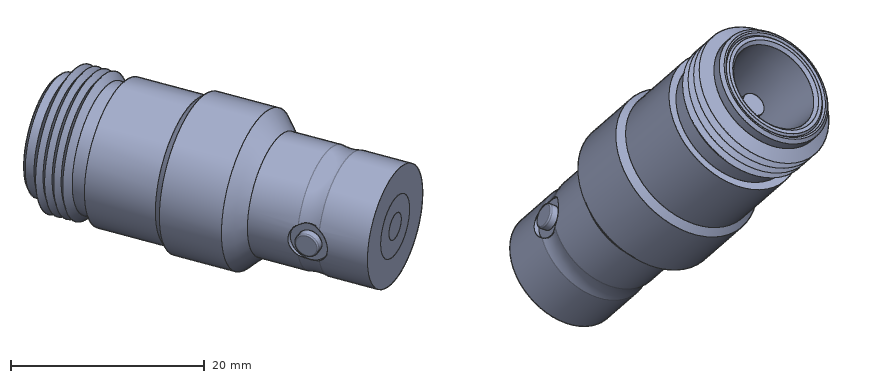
import cadquery as cq
length = 39.34
start_x = -length / 2
body_radius = 8.765

nose_radius = 6.75
nose_chamfer = 0.36
crest_radius = 8.05
root_radius = 7.35
crest_count = 4
thread_pitch = 1.03
first_flank_start = 1.36
first_crest = 2.15
last_flank_end = 5.93
undercut_radius = 7.22
undercut_end = 7.72

barrel_radius = 8.08
barrel_end = 15.8
collar_start = 16.58
collar_end = 23.65
bayonet_radius = 6.75
bayonet_start = collar_end + body_radius - bayonet_radius

lug_station = 32.53
groove_width = 2.4
groove_depth = 0.15
lug_radius = 1.36
lug_root = 5.0
lug_tip = 7.07
lug_edge_fillet = 0.15
spotface_radius = 2.25
spotface_height = 6.16

rim_groove_outer_radius = 6.18
rim_groove_inner_radius = 5.74
rim_groove_half_width = (rim_groove_outer_radius - rim_groove_inner_radius) / 2
lead_in_radius = 5.33
bore_mouth_radius = 4.97
lead_in_length = lead_in_radius - bore_mouth_radius
bore_floor_radius = 4.35
bore_floor_depth = 9.0

insulator_radius = 3.52
contact_radius = 1.5
contact_tip_radius = 1.3
contact_tip_depth = 4.1
contact_taper_length = 3.0


def revolve_profile(points):
    """Turn a closed (distance from mouth, radius) outline about the X axis."""
    placed = [(start_x + distance, radius) for distance, radius in points]
    return cq.Workplane("XY").polyline(placed).close().revolve(360, (0, 0, 0), (1, 0, 0))


def thread_points():
    """Sharp crests with a root between each pair."""
    points = []
    for index in range(crest_count):
        crest = first_crest + index * thread_pitch
        points.append((crest, crest_radius))
        if index < crest_count - 1:
            points.append((crest + thread_pitch / 2, root_radius))
    return points


def make_shell():
    """Solid outer form of the housing."""
    return revolve_profile([
        (0, 0),
        (0, nose_radius - nose_chamfer),
        (nose_chamfer, nose_radius),
        (first_flank_start, nose_radius),
        *thread_points(),
        (last_flank_end, undercut_radius),
        (undercut_end, undercut_radius),
        (undercut_end, barrel_radius),
        (barrel_end, barrel_radius),
        (collar_start, body_radius),
        (collar_end, body_radius),
        (bayonet_start, bayonet_radius),
        (length, bayonet_radius),
        (length, 0),
    ])


def make_rim_groove():
    """Right-angled V groove around the flat mouth rim."""
    return revolve_profile([
        (0, rim_groove_inner_radius),
        (rim_groove_half_width, rim_groove_inner_radius + rim_groove_half_width),
        (0, rim_groove_outer_radius),
    ])


def make_mouth_cavity():
    """Chamfered mouth leading into a bore that tapers slightly to its flat floor."""
    return revolve_profile([
        (0, 0),
        (0, lead_in_radius),
        (lead_in_length, bore_mouth_radius),
        (bore_floor_depth, bore_floor_radius),
        (bore_floor_depth, 0),
    ])


def make_bayonet_groove():
    """Shallow arc-bottomed ring groove through the lug station."""
    center_x = start_x + lug_station
    left = (center_x - groove_width / 2, bayonet_radius)
    bottom = (center_x, bayonet_radius - groove_depth)
    right = (center_x + groove_width / 2, bayonet_radius)
    outline = cq.Workplane("XY").moveTo(*left).threePointArc(bottom, right).close()
    return outline.revolve(360, (0, 0, 0), (1, 0, 0))


def side_cylinder(side, radius, inner, outer):
    """Cylinder along Y at the lug station, on the +Y (side = 1) or -Y (side = -1) flank."""
    base = cq.Vector(start_x + lug_station, side * inner, 0)
    return cq.Workplane(cq.Solid.makeCylinder(radius, outer - inner, base, cq.Vector(0, side, 0)))


def make_housing():
    """Outer shell with its mouth, grooves, spot-faced lugs and insulator bore."""
    housing = make_shell()
    for cutter in (make_rim_groove(), make_mouth_cavity(), make_bayonet_groove()):
        housing = housing.cut(cutter)
    for side, tip_face in ((1, ">Y"), (-1, "<Y")):
        housing = housing.cut(side_cylinder(side, spotface_radius, spotface_height, body_radius))
        lug = side_cylinder(side, lug_radius, lug_root, lug_tip)
        housing = housing.union(lug.faces(tip_face).edges().fillet(lug_edge_fillet))
    insulator_bore = revolve_profile([
        (bore_floor_depth, 0),
        (bore_floor_depth, insulator_radius),
        (length, insulator_radius),
        (length, 0),
    ])
    return housing.cut(insulator_bore)


def make_insulator():
    """Sleeve between the housing bore and the contact, flush with the bore floor."""
    return revolve_profile([
        (bore_floor_depth, contact_radius),
        (bore_floor_depth, insulator_radius),
        (length, insulator_radius),
        (length, contact_radius),
    ])


def make_contact():
    """Centre pin with a slightly tapered tip."""
    return revolve_profile([
        (contact_tip_depth, 0),
        (contact_tip_depth, contact_tip_radius),
        (contact_tip_depth + contact_taper_length, contact_radius),
        (length, contact_radius),
        (length, 0),
    ])


housing = make_housing()
insulator = make_insulator()
contact = make_contact()

result = cq.Compound.makeCompound([housing.val(), insulator.val(), contact.val()])